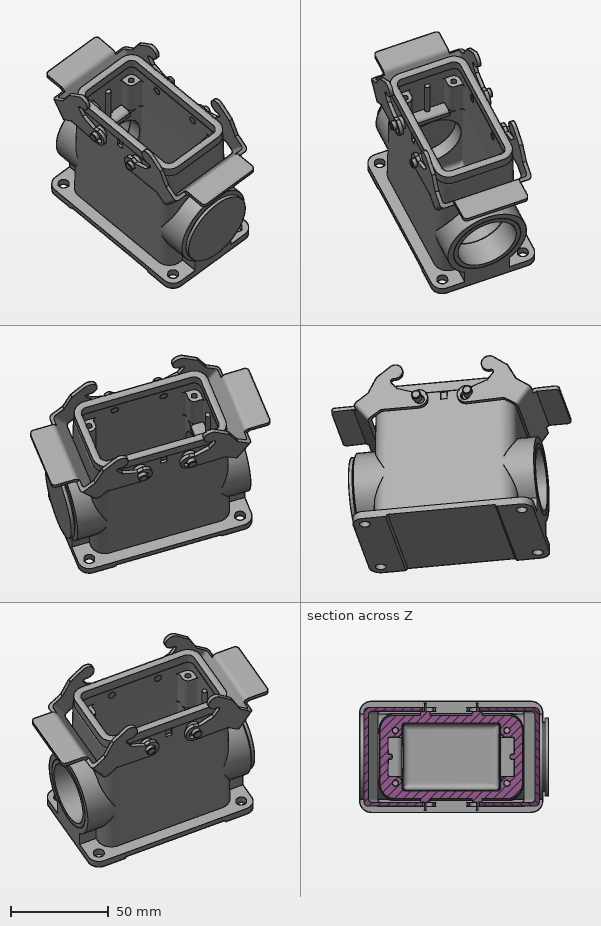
import cadquery as cq
import math

OVERALL_X = 118.5

PLATE_X = 93.9
PLATE_Y = 57.0
PLATE_H = 4.1
PLATE_CORNER_R = 6.0
MOUNT_HOLE_D = 5.6
MOUNT_HOLE_X = 40.9
MOUNT_HOLE_Y = 22.4
RELIEF_X = 56.9
RELIEF_H = 1.1

BODY_TOP_Z = 74.9
BODY_BASE_X = 74.9
BODY_BASE_Y = 44.6
BODY_DRAFT = 0.8
BODY_CORNER_R = 7.6
BODY_EDGE_R = 0.5
BODY_TOP_Y = BODY_BASE_Y - 2 * (BODY_TOP_Z - PLATE_H) * math.tan(math.radians(BODY_DRAFT))

COLLAR_D = 43.7
COLLAR_Z = 30.0
COLLAR_END_X = PLATE_X / 2
WEB_Y = 25.0

CAVITY_X = 64.5
CAVITY_Y = 34.6
CAVITY_CORNER_R = 3.7
LEDGE_Z = 48.8
LEDGE_EDGE_R = 2.6
WELL_X = 50.3
WELL_DRAFT = 1
WELL_CORNER_R = 1.2
FLOOR_Z = PLATE_H
FLOOR_FILLET_R = 3.0

POST_TOP_Z = 69.0
POST_INNER_Y = 10.0
POST_CORNER_R = 3.2
POST_SIDE_FLARE_R = 1.5
POST_END_FLARE_R = 0.7
POST_HOLE_X = 28.6
POST_HOLE_Y = 13.5
POST_HOLE_D = 3.0
POST_HOLE_DEPTH = 11.9
KEY_R = 1.4
KEY_X = 31.4

NOTCH_X = 3.4
NOTCH_H = 4.6
NOTCH_DEPTH = 1.3

ENTRY_BORE_D = 32
ENTRY_SEAT_X = 32
RING_SEAT_D = 37.5
RING_OUTER_D = 37.0
RING_INNER_D = 32.5
PLUG_SHANK_D = 35.5
PLUG_FLANGE_D = 40.0
PLUG_FLANGE_T = 1.9
PLUG_GAP = 1.1

SEAL_X = 72.1
SEAL_Y = 42.4
SEAL_WIDTH = 3.8
SEAL_SIDE_H = 5.5
SEAL_H = 5.8
SEAL_CORNER_R = 7.5

PIN_X = 13.3
PIN_Z = 70.8
PIN_D = 4.7
PIN_END_Y = 27.9
PIN_CHAMFER = 0.4
PIN_COLLAR_D = 7.0
PIN_COLLAR_R = 0.8
PIN_FOOT_D = 4.0
PIN_FOOT_H = 0.1

LEVER_OUTER_Y = 25.4
LEVER_T = 2.0
LEVER_INNER_Y = LEVER_OUTER_Y - LEVER_T
LEVER_BEND_R = 2.1
LEVER_INNER_BEND_R = 1.7
SLOT_DX = 1.4
SLOT_DZ = -1.9
PIVOT_END_R = 4.9
HOOK_X = -24.3
HOOK_Z = 86.9
HOOK_R = 4.0
HOOK_BACK_ANGLE = 120
HOOK_ARM_TOP = (-34.0, 84.6)
THROAT_START_X = -25.2
THROAT_MIDDLE = (-26.3, 82.4)
THROAT_END = (-26.5, 81.2)
NECK_CORNERS = [(-23.5, 76.9), (-15.4, 73.7)]
HEEL = (-32, 65.5)
HANDLE_Y = 36.0
HANDLE_TOP_Z = 73.8
HANDLE_T = 2.1
HANDLE_CORNER_R = 2.1
HANDLE_BEVEL_X = 1.1
HANDLE_BEVEL_Z = 0.2
HANDLE_BEND_START = (-47.3, 73.6)
HANDLE_BEND_MIDDLE = (-45.5, 72.9)
HANDLE_BEND_UNDERSIDE_X = -47.6
BRIDGE_TOP = (-46.2, 70.6)
BRIDGE_BOTTOM = (-39.2, 60.8)
SHOULDER_REACH = 9.4
RIGHT_LEVER_TURN = 1.5

TURN_COS = math.cos(math.radians(RIGHT_LEVER_TURN))
TURN_SIN = math.sin(math.radians(RIGHT_LEVER_TURN))
HANDLE_TIP_RISE = HANDLE_TOP_Z - HANDLE_BEVEL_Z - PIN_Z
HANDLE_END_X = -(OVERALL_X - PIN_X * (1 - TURN_COS) - HANDLE_TIP_RISE * TURN_SIN) / (1 + TURN_COS)

BRIDGE_RUN = BRIDGE_BOTTOM[0] - BRIDGE_TOP[0]
BRIDGE_DROP = BRIDGE_TOP[1] - BRIDGE_BOTTOM[1]
INWARD_X = BRIDGE_DROP / math.hypot(BRIDGE_RUN, BRIDGE_DROP)
INWARD_Z = BRIDGE_RUN / math.hypot(BRIDGE_RUN, BRIDGE_DROP)


def rounded_block(size_x, size_y, bottom_z, top_z, corner_r):
    block = cq.Workplane("XY", origin=(0, 0, bottom_z)).rect(size_x, size_y).extrude(top_z - bottom_z)
    return block.edges("|Z").fillet(corner_r)


def box_between(x0, x1, y0, y1, z0, z1):
    return cq.Workplane("XY").box(x1 - x0, y1 - y0, z1 - z0, centered=False).translate((x0, y0, z0))


def rod_x(diameter, x0, x1):
    return cq.Workplane("YZ", origin=(x0, 0, COLLAR_Z)).circle(diameter / 2).extrude(x1 - x0)


def rounded_rectangle(size_x, size_y, corner_r):
    return cq.Sketch().rect(size_x, size_y).vertices().fillet(corner_r)


def make_plate():
    plate = rounded_block(PLATE_X, PLATE_Y, 0, PLATE_H, PLATE_CORNER_R)
    holes = (
        cq.Workplane("XY")
        .rect(2 * MOUNT_HOLE_X, 2 * MOUNT_HOLE_Y, forConstruction=True)
        .vertices()
        .circle(MOUNT_HOLE_D / 2)
        .extrude(PLATE_H)
    )
    relief = (
        cq.Workplane("XZ", origin=(0, PLATE_Y / 2, 0))
        .moveTo(-RELIEF_X / 2 - RELIEF_H / 2, 0)
        .lineTo(-RELIEF_X / 2 + RELIEF_H / 2, RELIEF_H)
        .lineTo(RELIEF_X / 2 - RELIEF_H / 2, RELIEF_H)
        .lineTo(RELIEF_X / 2 + RELIEF_H / 2, 0)
        .close()
        .extrude(PLATE_Y)
    )
    return plate.cut(holes).cut(relief)


def make_drafted_box():
    box = (
        cq.Workplane("XY", origin=(0, 0, PLATE_H))
        .rect(BODY_BASE_X, BODY_BASE_Y)
        .extrude(BODY_TOP_Z - PLATE_H, taper=BODY_DRAFT)
    )
    box = box.edges("not #Z").fillet(BODY_CORNER_R)
    return box.faces(">Z").edges().fillet(BODY_EDGE_R)


def make_collars():
    collars = rod_x(COLLAR_D, -COLLAR_END_X, COLLAR_END_X)
    web = box_between(-COLLAR_END_X, COLLAR_END_X, -WEB_Y / 2, WEB_Y / 2, PLATE_H / 2, COLLAR_Z)
    return collars.union(web)


def make_cavity():
    upper = rounded_block(CAVITY_X, CAVITY_Y, LEDGE_Z, BODY_TOP_Z, CAVITY_CORNER_R)
    well = (
        cq.Workplane("XY", origin=(0, 0, LEDGE_Z))
        .placeSketch(rounded_rectangle(WELL_X, CAVITY_Y, WELL_CORNER_R))
        .extrude(FLOOR_Z - LEDGE_Z, taper=WELL_DRAFT)
        .faces("<Z")
        .edges()
        .fillet(FLOOR_FILLET_R)
    )
    return upper.union(well)


def make_ledge_rounding(side):
    """Material to remove along the ledge's inner edge, between the two posts."""
    edge_x = WELL_X / 2
    profile = (
        cq.Workplane("XZ", origin=(0, POST_INNER_Y, 0))
        .moveTo(side * edge_x, LEDGE_Z - LEDGE_EDGE_R)
        .lineTo(side * edge_x, LEDGE_Z)
        .lineTo(side * (edge_x + LEDGE_EDGE_R), LEDGE_Z)
        .radiusArc((side * edge_x, LEDGE_Z - LEDGE_EDGE_R), -side * LEDGE_EDGE_R)
        .close()
    )
    return profile.extrude(2 * POST_INNER_Y)


def make_post(side_x, side_y):
    inner_x = WELL_X / 2
    outer_x = CAVITY_X / 2
    outer_y = CAVITY_Y / 2
    post = (
        cq.Workplane("XY", origin=(0, 0, LEDGE_Z))
        .moveTo(outer_x, outer_y)
        .lineTo(outer_x, POST_INNER_Y - POST_END_FLARE_R)
        .radiusArc((outer_x - POST_END_FLARE_R, POST_INNER_Y), -POST_END_FLARE_R)
        .lineTo(inner_x + POST_CORNER_R, POST_INNER_Y)
        .radiusArc((inner_x, POST_INNER_Y + POST_CORNER_R), POST_CORNER_R)
        .lineTo(inner_x, outer_y - POST_SIDE_FLARE_R)
        .radiusArc((inner_x - POST_SIDE_FLARE_R, outer_y), -POST_SIDE_FLARE_R)
        .close()
        .extrude(POST_TOP_Z - LEDGE_Z)
    )
    hole = (
        cq.Workplane("XY", origin=(POST_HOLE_X, POST_HOLE_Y, POST_TOP_Z - POST_HOLE_DEPTH))
        .circle(POST_HOLE_D / 2)
        .extrude(POST_HOLE_DEPTH)
    )
    corner = rounded_block(CAVITY_X, CAVITY_Y, LEDGE_Z, POST_TOP_Z, CAVITY_CORNER_R)
    post = post.intersect(corner).cut(hole)
    if side_x < 0:
        post = post.mirror("YZ")
    if side_y < 0:
        post = post.mirror("XZ")
    return post


def make_key(side):
    key = cq.Workplane("XY", origin=(side * KEY_X, 0, LEDGE_Z)).circle(KEY_R)
    return key.extrude(POST_TOP_Z - LEDGE_Z)


def make_pin(x, side):
    """Pivot pin: foot through the wall, round-edged collar and chamfered shaft."""
    foot_y = CAVITY_Y / 2 - PIN_FOOT_H
    collar_r = PIN_COLLAR_D / 2
    pin_r = PIN_D / 2
    pin = (
        cq.Workplane("XY")
        .moveTo(0, foot_y)
        .lineTo(PIN_FOOT_D / 2, foot_y)
        .lineTo(PIN_FOOT_D / 2, BODY_TOP_Y / 2 - BODY_EDGE_R)
        .lineTo(collar_r, BODY_TOP_Y / 2 - BODY_EDGE_R)
        .lineTo(collar_r, LEVER_INNER_Y - PIN_COLLAR_R)
        .radiusArc((collar_r - PIN_COLLAR_R, LEVER_INNER_Y), -PIN_COLLAR_R)
        .lineTo(pin_r, LEVER_INNER_Y)
        .lineTo(pin_r, PIN_END_Y - PIN_CHAMFER)
        .lineTo(pin_r - PIN_CHAMFER, PIN_END_Y)
        .lineTo(0, PIN_END_Y)
        .close()
        .revolve(360, (0, 0, 0), (0, 1, 0))
        .translate((x, 0, PIN_Z))
    )
    return pin if side > 0 else pin.mirror("XZ")


def make_notch(side):
    """Small recess in the middle of a long side, open at the rim."""
    outer_y = BODY_BASE_Y / 2
    inner_y = BODY_TOP_Y / 2 - NOTCH_DEPTH
    notch = box_between(-NOTCH_X / 2, NOTCH_X / 2, inner_y, outer_y, BODY_TOP_Z - NOTCH_H, BODY_TOP_Z)
    return notch if side > 0 else notch.mirror("XZ")


def make_housing():
    housing = make_plate().union(make_drafted_box()).union(make_collars()).cut(make_cavity())
    for side in (-1, 1):
        housing = housing.cut(make_ledge_rounding(side)).union(make_key(side))
        housing = housing.cut(make_notch(side))
        for other_side in (-1, 1):
            housing = housing.union(make_post(side, other_side))
            housing = housing.union(make_pin(other_side * PIN_X, side))
    housing = housing.cut(rod_x(ENTRY_BORE_D, -ENTRY_SEAT_X, ENTRY_SEAT_X))
    housing = housing.cut(rod_x(RING_SEAT_D, -COLLAR_END_X, -ENTRY_SEAT_X))
    return housing.cut(rod_x(PLUG_SHANK_D, ENTRY_SEAT_X, COLLAR_END_X))


def make_seal():
    """Rim seal: flat-sided strip with a crowned top, swept round the rim."""
    seal_inner_x = SEAL_X / 2 - SEAL_WIDTH
    profile = (
        cq.Workplane("XZ")
        .moveTo(-SEAL_X / 2, BODY_TOP_Z)
        .lineTo(-SEAL_X / 2, BODY_TOP_Z + SEAL_SIDE_H)
        .threePointArc(
            (-SEAL_X / 2 + SEAL_WIDTH / 2, BODY_TOP_Z + SEAL_H),
            (-seal_inner_x, BODY_TOP_Z + SEAL_SIDE_H),
        )
        .lineTo(-seal_inner_x, BODY_TOP_Z)
        .close()
    )
    path = (
        cq.Workplane("XY", origin=(0, 0, BODY_TOP_Z))
        .moveTo(-SEAL_X / 2, 0)
        .lineTo(-SEAL_X / 2, SEAL_Y / 2 - SEAL_CORNER_R)
        .radiusArc((-SEAL_X / 2 + SEAL_CORNER_R, SEAL_Y / 2), SEAL_CORNER_R)
        .lineTo(SEAL_X / 2 - SEAL_CORNER_R, SEAL_Y / 2)
        .radiusArc((SEAL_X / 2, SEAL_Y / 2 - SEAL_CORNER_R), SEAL_CORNER_R)
        .lineTo(SEAL_X / 2, -SEAL_Y / 2 + SEAL_CORNER_R)
        .radiusArc((SEAL_X / 2 - SEAL_CORNER_R, -SEAL_Y / 2), SEAL_CORNER_R)
        .lineTo(-SEAL_X / 2 + SEAL_CORNER_R, -SEAL_Y / 2)
        .radiusArc((-SEAL_X / 2, -SEAL_Y / 2 + SEAL_CORNER_R), SEAL_CORNER_R)
        .close()
    )
    return profile.sweep(path)


def make_ring():
    outer = rod_x(RING_OUTER_D, -COLLAR_END_X, -ENTRY_SEAT_X)
    return outer.cut(rod_x(RING_INNER_D, -COLLAR_END_X, -ENTRY_SEAT_X))


def make_plug():
    flange_x = COLLAR_END_X + PLUG_GAP
    shank = rod_x(PLUG_SHANK_D, ENTRY_SEAT_X, flange_x)
    return shank.union(rod_x(PLUG_FLANGE_D, flange_x, flange_x + PLUG_FLANGE_T))


def inward_from_bridge_top(distance):
    return BRIDGE_TOP[0] + INWARD_X * distance, BRIDGE_TOP[1] + INWARD_Z * distance


def make_lever_side():
    """Side outline of the left lever, extruded across its full width."""
    pivot_x = -PIN_X + SLOT_DX / 2
    pivot_z = PIN_Z + SLOT_DZ / 2
    back = math.radians(HOOK_BACK_ANGLE)
    return (
        cq.Workplane("XZ", origin=(0, LEVER_OUTER_Y, 0))
        .moveTo(*BRIDGE_BOTTOM)
        .lineTo(*BRIDGE_TOP)
        .lineTo(*inward_from_bridge_top(SHOULDER_REACH))
        .lineTo(*HOOK_ARM_TOP)
        .lineTo(HOOK_X + HOOK_R * math.cos(back), HOOK_Z + HOOK_R * math.sin(back))
        .threePointArc((HOOK_X + HOOK_R, HOOK_Z), (HOOK_X, HOOK_Z - HOOK_R))
        .lineTo(THROAT_START_X, HOOK_Z - HOOK_R)
        .threePointArc(THROAT_MIDDLE, THROAT_END)
        .lineTo(*NECK_CORNERS[0])
        .lineTo(*NECK_CORNERS[1])
        .lineTo(pivot_x, pivot_z + PIVOT_END_R)
        .threePointArc((pivot_x + PIVOT_END_R, pivot_z), (pivot_x, pivot_z - PIVOT_END_R))
        .lineTo(*HEEL)
        .close()
        .extrude(2 * LEVER_OUTER_Y)
    )


def make_lever_channel():
    """Two cheeks joined by the bridge: the side outline with its inside opened."""
    bend_edges = cq.selectors.ParallelDirSelector(cq.Vector(BRIDGE_RUN, 0, -BRIDGE_DROP))
    outer_bends = cq.selectors.BoxSelector(
        (BRIDGE_TOP[0], -PLATE_Y / 2, BRIDGE_BOTTOM[1]),
        (BRIDGE_BOTTOM[0], PLATE_Y / 2, BRIDGE_TOP[1]),
    )
    channel = make_lever_side().edges(outer_bends).edges(bend_edges).fillet(LEVER_BEND_R)

    inner_x, inner_z = inward_from_bridge_top(LEVER_T)
    bridge_face = cq.Plane(
        origin=(inner_x, 0, inner_z), xDir=(0, 1, 0), normal=(INWARD_X, 0, INWARD_Z)
    )
    reach = OVERALL_X / 2
    inside = cq.Workplane(bridge_face).rect(2 * LEVER_INNER_Y, 2 * reach).extrude(reach)
    at_bridge = cq.selectors.NearestToPointSelector((inner_x, 0, inner_z))
    inside = inside.faces(at_bridge).edges(bend_edges).fillet(LEVER_INNER_BEND_R)
    return channel.cut(inside)


def make_lever_handle():
    """Flat grip with a bent root that meets the top of the bridge."""
    bottom_z = HANDLE_TOP_Z - HANDLE_T
    handle = (
        cq.Workplane("XZ", origin=(0, HANDLE_Y / 2, 0))
        .moveTo(HANDLE_END_X, bottom_z)
        .lineTo(HANDLE_END_X, HANDLE_TOP_Z - HANDLE_BEVEL_Z)
        .lineTo(HANDLE_END_X + HANDLE_BEVEL_X, HANDLE_TOP_Z)
        .lineTo(*HANDLE_BEND_START)
        .threePointArc(HANDLE_BEND_MIDDLE, inward_from_bridge_top(LEVER_T))
        .lineTo(*BRIDGE_TOP)
        .lineTo(HANDLE_BEND_UNDERSIDE_X, bottom_z)
        .close()
        .extrude(HANDLE_Y)
    )
    return handle.edges("|Z and <X").fillet(HANDLE_CORNER_R)


def make_pin_slot():
    slot_angle = math.degrees(math.atan2(SLOT_DZ, SLOT_DX))
    return (
        cq.Workplane("XZ", origin=(-PIN_X + SLOT_DX / 2, LEVER_OUTER_Y, PIN_Z + SLOT_DZ / 2))
        .slot2D(math.hypot(SLOT_DX, SLOT_DZ) + PIN_D, PIN_D, slot_angle)
        .extrude(2 * LEVER_OUTER_Y)
    )


def make_left_lever():
    return make_lever_channel().union(make_lever_handle()).cut(make_pin_slot())


def make_right_lever(left):
    return left.mirror("YZ").rotate((PIN_X, 0, PIN_Z), (PIN_X, 1, PIN_Z), RIGHT_LEVER_TURN)


housing = make_housing()
seal = make_seal()
ring = make_ring()
plug = make_plug()
left_lever = make_left_lever()
right_lever = make_right_lever(left_lever)

bodies = [housing, seal, ring, plug, left_lever, right_lever]
result = cq.Compound.makeCompound([body.solids().val() for body in bodies])